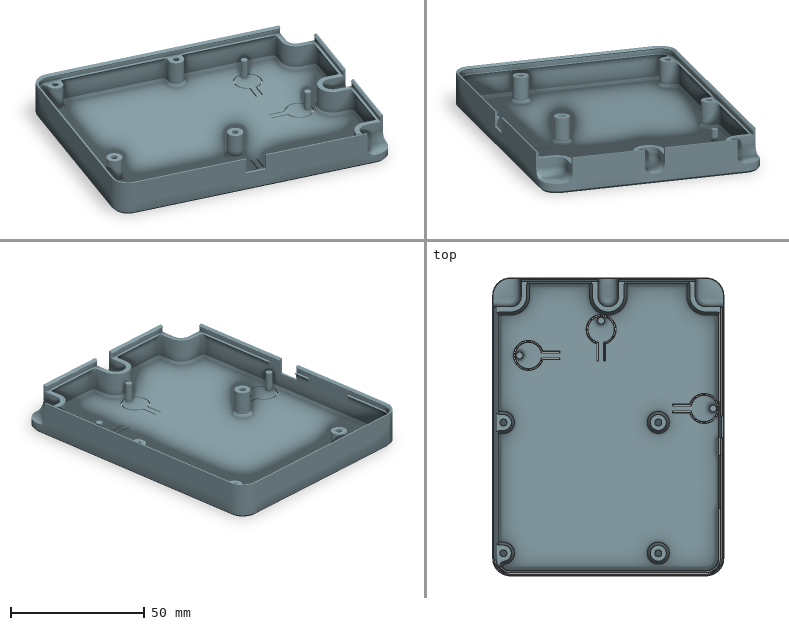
import cadquery as cq
import math

length_x = 86.6
length_y = 111.6
height = 13.8
corner_radius = 6.7
wall = 0.9
floor = 1.0
bottom_chamfer = 1.0
floor_chamfer = 1.1
inside_corner_radius = 2.0

seat_z = 11.0
seat_rib_reach = 1.0
seat_rib_drop = 2.5

rim_width = 0.6
bead_reach = 0.3

recess_depth = 10.7
recess_radius = 3.9
recess_floor_z = 4.0
recess_floor_fillet = 3.2
partition = 2.0

boss_diameter = 6.0
boss_hole_diameter = 2.6
boss_left_x = -39.3
boss_right_x = boss_left_x + 58.0
boss_back_y = 1.7
boss_front_y = boss_back_y - 49.0

button_diameter = 10.0
button_gap = 0.5
tongue_width = 2.0
tongue_end = 11.7
pin_diameter = 2.6
pin_offset = 3.3
pin_top_z = 8.5
buttons = [
    (-29.9, 26.8, 180),
    (-2.7, 36.5, 90),
    (35.9, 6.9, 0),
]

opening_width = 8.0
opening_z = 7.7
rib_gaps = [(-opening_width / 2, 9.4), (-30.6, -10.7)]

half_x = length_x / 2
half_y = length_y / 2
overlap = 5.6


def rounded_slab(inset, z_low, z_high):
    """Slab with the tray outline moved inwards by inset."""
    return (
        cq.Workplane("XY", origin=(0, 0, z_low))
        .rect(length_x - 2 * inset, length_y - 2 * inset)
        .extrude(z_high - z_low)
        .edges("|Z")
        .fillet(corner_radius - inset)
    )


def block(x_low, x_high, y_low, y_high, z_low, z_high):
    return cq.Workplane("XY").box(
        x_high - x_low, y_high - y_low, z_high - z_low, centered=False
    ).translate((x_low, y_low, z_low))


def cylinder(x, y, diameter, z_low, z_high):
    return cq.Workplane("XY", origin=(x, y, z_low)).circle(diameter / 2).extrude(z_high - z_low)


def recess_blocks(growth, z_low, z_high):
    """The three recess shapes grown sideways by growth, running past the outside of the tray."""
    reach = recess_depth + growth
    half_width = recess_radius + growth
    y_low = half_y - reach
    y_high = half_y + overlap
    left = block(-half_x - overlap, -half_x + reach, y_low, y_high, z_low, z_high)
    left = left.edges("|Z and >X and <Y").fillet(half_width)
    right = left.mirror("YZ")
    centre_y = y_low + half_width
    middle = block(-half_width, half_width, centre_y, y_high, z_low, z_high)
    middle = middle.union(cylinder(0, centre_y, 2 * half_width, z_low, z_high))
    return [left, middle, right]


def inside_corners():
    """Points (x, y) where partitions and left bosses meet the inside of the outer wall."""
    inner_x = half_x - wall
    inner_y = half_y - wall
    boss_radius = boss_diameter / 2
    partition_x = half_x - recess_depth - partition
    partition_y = half_y - recess_depth - partition
    middle_x = recess_radius + partition
    corners = []
    for side in (-1, 1):
        corners.append((side * middle_x, inner_y))
        corners.append((side * partition_x, inner_y))
        corners.append((side * inner_x, partition_y))
    corners.append((-inner_x, boss_back_y + boss_radius))
    corners.append((-inner_x, boss_back_y - boss_radius))
    corners.append((-inner_x, boss_front_y + boss_radius))
    flank_y = boss_front_y - boss_radius
    arc_centre = (corner_radius - half_x, corner_radius - half_y)
    arc_dx = math.sqrt((corner_radius - wall) ** 2 - (flank_y - arc_centre[1]) ** 2)
    corners.append((arc_centre[0] - arc_dx, flank_y))
    return corners


def lower_cavity():
    """Space between the floor and the seat, around partitions and bosses."""
    cavity = rounded_slab(wall, floor, seat_z)
    for partition_block in recess_blocks(partition, floor, seat_z):
        cavity = cavity.cut(partition_block)
    boss_radius = boss_diameter / 2
    for y in (boss_back_y, boss_front_y):
        cavity = cavity.cut(cylinder(boss_left_x, y, boss_diameter, floor, seat_z))
        cavity = cavity.cut(
            block(-half_x, boss_left_x, y - boss_radius, y + boss_radius, floor, seat_z)
        )
        cavity = cavity.cut(cylinder(boss_right_x, y, boss_diameter, floor, seat_z))

    for x, y in inside_corners():
        nearest = cq.selectors.NearestToPointSelector((x, y, (floor + seat_z) / 2))
        cavity = cavity.edges("|Z").edges(nearest).fillet(inside_corner_radius)
    return cavity.faces("<Z").edges().chamfer(floor_chamfer)


def wall_ring(profile):
    """Carry a closed (inset, z) wire, drawn behind the front edge, once around the tray outline."""
    path = cq.Workplane("XY").rect(length_x, length_y).extrude(1.1)
    path = path.edges("|Z").fillet(corner_radius).faces("<Z").wires().val()
    return profile.sweep(cq.Workplane(path))


def wall_section():
    """Section plane across the front wall, with coordinates (inset, z)."""
    return cq.Workplane(cq.Plane(origin=(0, -half_y, 0), xDir=(0, 1, 0), normal=(1, 0, 0)))


def seat_rib():
    """Rib that carries the lid; its hollow underside runs out smoothly into the wall."""
    crest = wall + seat_rib_reach
    rib_bottom = seat_z - seat_rib_drop
    arc_radius = (seat_rib_drop ** 2 + seat_rib_reach ** 2) / (2 * seat_rib_reach)
    half_angle = math.asin(seat_rib_drop / arc_radius) / 2
    arc_inset = wall + arc_radius * (1 - math.cos(half_angle))
    arc_z = rib_bottom + arc_radius * math.sin(half_angle)
    section = (
        wall_section()
        .moveTo(wall / 2, seat_z)
        .lineTo(wall / 2, rib_bottom)
        .lineTo(wall, rib_bottom)
        .threePointArc((arc_inset, arc_z), (crest, seat_z))
        .close()
    )
    rib = wall_ring(section)
    for y_low, y_high in rib_gaps:
        rib = rib.cut(block(half_x - overlap, half_x, y_low, y_high, rib_bottom, seat_z))
    return rib


def snap_rim():
    """Bevelled rim with a snap bead under the bevel."""
    crest = wall + bead_reach
    crest_z = height - (crest - rim_width)
    section = wall_section().polyline([
        (wall / 2, crest_z - bead_reach),
        (wall, crest_z - bead_reach),
        (crest, crest_z),
        (rim_width, height),
        (wall / 2, height),
    ]).close()
    return wall_ring(section)


def button_outline(growth, z_low, z_high):
    """Button disc with its tongue along -X, grown sideways by growth."""
    disc = cylinder(0, 0, button_diameter + 2 * growth, z_low, z_high)
    half_tongue = tongue_width / 2 + growth
    return disc.union(block(-tongue_end, 0, -half_tongue, half_tongue, z_low, z_high))


def place_button(shape, x, y, angle):
    return shape.rotate((0, 0, 0), (0, 0, 1), angle).translate((x, y, 0))


body = rounded_slab(0, 0, height).faces("<Z").edges().chamfer(bottom_chamfer)
body = body.cut(lower_cavity())
body = body.cut(rounded_slab(wall, seat_z, height - wall))
body = body.cut(rounded_slab(rim_width, height - wall, height))
body = body.union(seat_rib())
body = body.union(snap_rim())

for recess in recess_blocks(0, recess_floor_z, height):
    body = body.cut(recess.faces("<Z").edges().fillet(recess_floor_fillet))

for x in (boss_left_x, boss_right_x):
    for y in (boss_back_y, boss_front_y):
        body = body.cut(cylinder(x, y, boss_hole_diameter, floor, seat_z))

for x, y, angle in buttons:
    gap = button_outline(button_gap, 0, floor).cut(button_outline(0, 0, floor))
    pin = cylinder(pin_offset, 0, pin_diameter, floor / 2, pin_top_z)
    body = body.cut(place_button(gap, x, y, angle))
    body = body.union(place_button(pin, x, y, angle))

half_opening = opening_width / 2
body = body.cut(block(half_x - overlap, half_x, -half_opening, half_opening, opening_z, height))

result = body